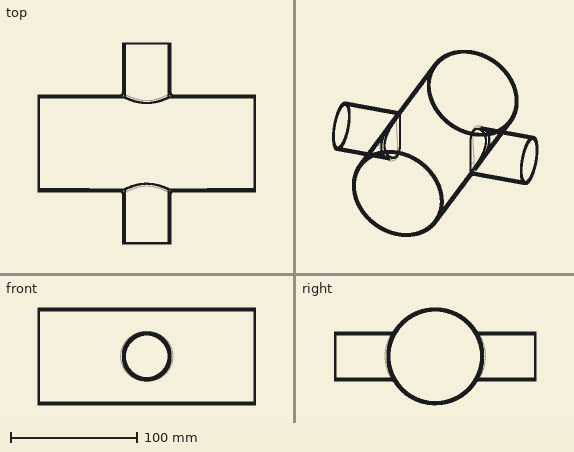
import cadquery as cq

run_length = 171.5
run_outer_diameter = 76.1
run_inner_diameter = 72.9

branch_span = 158.8
branch_outer_diameter = 38.0
branch_inner_diameter = 34.8

weld_radius = 1.7


def cylinder_along(plane, diameter, length):
    """Solid cylinder centred on the origin, along the normal of the plane."""
    return cq.Workplane(plane).circle(diameter / 2).extrude(length / 2, both=True)


def outer_body():
    """Run and branches as one solid, with a blended joint."""
    run = cylinder_along("YZ", run_outer_diameter, run_length)
    branches = cylinder_along("XZ", branch_outer_diameter, branch_span)
    joint_zone = cq.selectors.BoxSelector(
        (-branch_outer_diameter, -run_outer_diameter / 2, -branch_outer_diameter),
        (branch_outer_diameter, run_outer_diameter / 2, branch_outer_diameter),
    )
    return run.union(branches).edges(joint_zone).fillet(weld_radius)


run_bore = cylinder_along("YZ", run_inner_diameter, run_length)
branch_bore = cylinder_along("XZ", branch_inner_diameter, branch_span)

result = outer_body().cut(run_bore).cut(branch_bore)